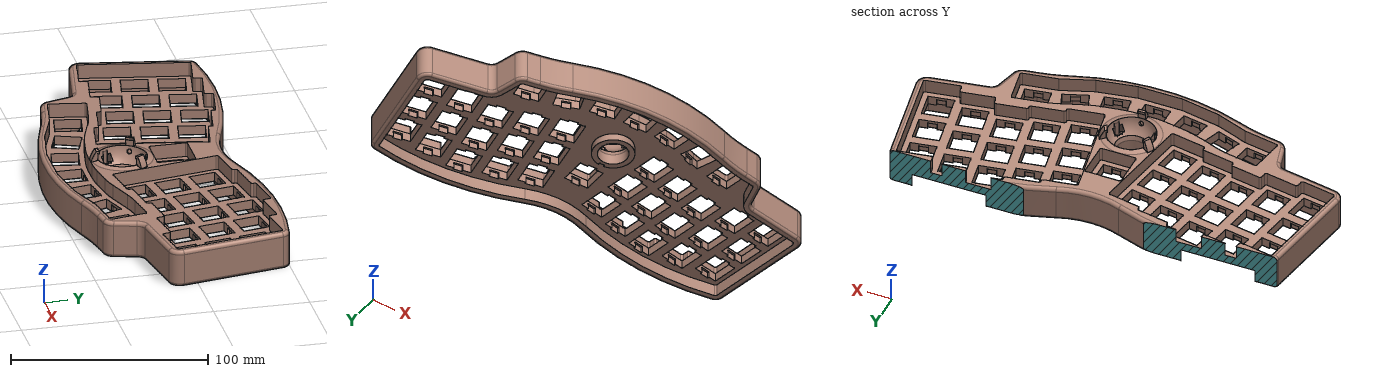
import cadquery as cq
import math

BODY_HEIGHT = 19.6
OVERALL_HEIGHT = 25.2
POCKET_DEPTH = 7.6
PLATE_THICKNESS = 5.0
PLATE_TOP = BODY_HEIGHT - POCKET_DEPTH
PLATE_BOTTOM = PLATE_TOP - PLATE_THICKNESS

CAVITY_WALL = 4.0
TOP_EDGE_RADIUS = 2.0
BOTTOM_EDGE_RADIUS = 1.5
OUTER_CORNER_RADIUS = 6.0
INNER_CORNER_RADIUS = 4.5
BACK_CORNER_RADIUS = 5.0
POCKET_CORNER_RADIUS = 1.0
THUMB_BEND_RADIUS = 50.0

CORNER_REACH = 0.5

KEY_PITCH = 19.0
KEY_CELL = 20.0
SWITCH_HOLE = 14.0
HAND_ANGLE = 10.0
NOTCH_WIDTH = 5.0
NOTCH_DEPTH = 1.0
NOTCH_LIP = 1.5
ROWS = 3

FIRST_COLUMN_U = -100.4
FIRST_COLUMN_V = -0.7
COLUMN_STAGGER = [0.0, KEY_PITCH / 4, KEY_PITCH / 2, KEY_PITCH * 3 / 8, KEY_PITCH / 4]

THUMB_KEYS = [(-59.75, -27.0, HAND_ANGLE), (-40.05, -32.3, 2 * HAND_ANGLE), (-20.35, -37.55, HAND_ANGLE)]
MIDDLE_THUMB_KEY_Y = -39.15
CENTRE_KEY_Y = 13.4

HALF_LENGTH = 234.24 / 2
HALF_WIDTH = 105.81 / 2

SOCKET_Y = -12.8
BALL_RADIUS = 13.0
BALL_CENTRE_Z = 21.5
DRAIN_DIAMETER = 16.0
DRAIN_TOP_RADIUS = 8.7
RING_RADIUS = 16.0
RING_HEIGHT = 0.8
RIM_Z = BODY_HEIGHT + RING_HEIGHT
DRAIN_TAPER_BOTTOM = 9.2
COLLAR_RADIUS = 11.0
COLLAR_BOTTOM = 3.0

CLIP_ANGLES = [30, 150, 270]
ROLLER_FLOORS = {90: 0.0, 210: 10.0, 330: 10.0}
CLIP_WIDTH = 4.0
CLIP_OUTER_RADIUS = 16.6
CLIP_TOP_RADIUS = 13.8
CLIP_BULGE = 0.2
CLIP_LIP = 0.7
CLIP_LIP_HEIGHT = 1.4
BEARING_DIAMETER = 2.4
BEARING_DEPTH = 1.5
BEARING_DIP = 18.0
ROLLER_WIDTH = 3.0
ROLLER_INNER_RADIUS = 9.8
ROLLER_OUTER_RADIUS = 12.7
AXLE_RADIUS = 11.0
AXLE_LENGTH = 6.0
AXLE_WIDTH = 2.0
AXLE_FLOOR = 12.5
AXLE_HEIGHT = 4.5


def turned(u, v, angle=HAND_ANGLE):
    """Point (u, v) turned clockwise about the origin."""
    a = math.radians(angle)
    return (u * math.cos(a) + v * math.sin(a), v * math.cos(a) - u * math.sin(a))


def across(point):
    """A point reflected in the YZ plane."""
    return (-point[0], point[1])


def mirrored(points):
    """The same points reflected in the YZ plane, in reverse order."""
    return [across(point) for point in reversed(points)]


def placed_box(key, length, width, bottom, top):
    """Box centred on a key and turned with it."""
    x, y, angle = key
    box = cq.Workplane("XY").box(length, width, top - bottom, centered=(True, True, False))
    return box.rotate((0, 0, 0), (0, 0, 1), -angle).translate((x, y, bottom))


def both_sides(keys):
    return keys + [(-x, y, -angle) for x, y, angle in keys]


def column_keys(column):
    u = FIRST_COLUMN_U + column * KEY_PITCH
    bottom_v = FIRST_COLUMN_V + COLUMN_STAGGER[column] - KEY_PITCH
    return [(*turned(u, bottom_v + row * KEY_PITCH), HAND_ANGLE) for row in range(ROWS)]


COLUMNS = [column_keys(column) for column in range(len(COLUMN_STAGGER))]
LEFT_KEYS = [key for column in COLUMNS for key in column]
CENTRE_KEY = (0, CENTRE_KEY_Y, 0)
MIDDLE_THUMB_KEY = (0, MIDDLE_THUMB_KEY_Y, 0)

BACK_PEAK_X = -74.5
BACK_DIP_DEPTH = 13.6
BACK_DIP_RADIUS = 49.0
BACK_REACH = math.hypot(BACK_PEAK_X, BACK_DIP_DEPTH) ** 2 / (2 * BACK_DIP_DEPTH)
BACK_HILL_RADIUS = BACK_REACH - BACK_DIP_RADIUS
BACK_HILL_CENTRE = (BACK_PEAK_X, HALF_WIDTH - BACK_HILL_RADIUS)
BACK_DIP = (0, HALF_WIDTH - BACK_DIP_DEPTH)
BACK_ARC_ANGLE = math.degrees(math.asin(-BACK_PEAK_X / BACK_REACH))

FRONT_BOW_RADIUS = 136.0
FRONT_BOW_ANGLE = 20.0
FRONT_HOLLOW_RADIUS = 100.0
THUMB_EDGE_LENGTH = 11.1
NECK_CORNER = (-79.0, -20.3)


def on_arc(centre, radius, angle):
    """Point on an arc, with the angle in degrees clockwise from +Y."""
    a = math.radians(angle)
    return (centre[0] + radius * math.sin(a), centre[1] + radius * math.cos(a))


def unturned(x, y):
    """Coordinates of a point in the axes of the left-hand columns."""
    return turned(x, y, -HAND_ANGLE)


HAND_V = FIRST_COLUMN_V - KEY_PITCH - KEY_CELL / 2 - CAVITY_WALL
HAND_SIN, HAND_COS = turned(0, 1)
CORNER_CENTRE_X = OUTER_CORNER_RADIUS - HALF_LENGTH
CORNER_CENTRE_U = (CORNER_CENTRE_X - HAND_SIN * (HAND_V + OUTER_CORNER_RADIUS)) / HAND_COS
SIDE_U = CORNER_CENTRE_U - OUTER_CORNER_RADIUS
BOTTOM_CORNER = turned(SIDE_U, HAND_V)
HILL_U, HILL_V = unturned(*BACK_HILL_CENTRE)
TOP_CORNER = turned(SIDE_U, HILL_V + math.sqrt(BACK_HILL_RADIUS**2 - (SIDE_U - HILL_U) ** 2))


def case_outline():
    """Outline with sharp corners, drawn clockwise from the left end of the front bow.

    Also returns the left thumb corner, which is placed along the way.
    """
    bow_centre = (0, FRONT_BOW_RADIUS - HALF_WIDTH)
    bow_start = on_arc(bow_centre, FRONT_BOW_RADIUS, 180 + FRONT_BOW_ANGLE)
    hollow_centre = on_arc(bow_centre, FRONT_BOW_RADIUS + FRONT_HOLLOW_RADIUS, 180 + FRONT_BOW_ANGLE)
    hollow_middle = on_arc(hollow_centre, FRONT_HOLLOW_RADIUS, (FRONT_BOW_ANGLE + HAND_ANGLE) / 2)
    hollow_end = on_arc(hollow_centre, FRONT_HOLLOW_RADIUS, HAND_ANGLE)
    along_thumb = turned(-THUMB_EDGE_LENGTH, 0)
    thumb_corner = (hollow_end[0] + along_thumb[0], hollow_end[1] + along_thumb[1])
    hill_end = on_arc(BACK_HILL_CENTRE, BACK_HILL_RADIUS, BACK_ARC_ANGLE)
    back_peak = (BACK_PEAK_X, HALF_WIDTH)

    left_corners = [thumb_corner, NECK_CORNER, BOTTOM_CORNER, TOP_CORNER]
    outline = cq.Workplane("XY").moveTo(*bow_start).threePointArc(hollow_middle, hollow_end)
    for corner in left_corners:
        outline = outline.lineTo(*corner)
    outline = (
        outline.threePointArc(back_peak, hill_end)
        .threePointArc(BACK_DIP, across(hill_end))
        .threePointArc(across(back_peak), across(TOP_CORNER))
    )
    for corner in mirrored([hollow_end] + left_corners[:-1]):
        outline = outline.lineTo(*corner)
    outline = (
        outline.threePointArc(across(hollow_middle), across(bow_start))
        .threePointArc((0, -HALF_WIDTH), bow_start)
        .close()
    )
    return outline, thumb_corner


def round_corner_pair(body, corner, radius):
    """Round the upright edges at a corner and at its mirror image."""
    x, y = corner
    for side in (x, -x):
        selector = cq.selectors.BoxSelector(
            (side - CORNER_REACH, y - CORNER_REACH, 0),
            (side + CORNER_REACH, y + CORNER_REACH, BODY_HEIGHT),
        )
        body = body.edges("|Z").edges(selector).fillet(radius)
    return body


def case_block():
    outline, thumb_corner = case_outline()
    body = outline.extrude(BODY_HEIGHT)
    body = round_corner_pair(body, TOP_CORNER, BACK_CORNER_RADIUS)
    body = round_corner_pair(body, BOTTOM_CORNER, OUTER_CORNER_RADIUS)
    body = round_corner_pair(body, NECK_CORNER, INNER_CORNER_RADIUS)
    return round_corner_pair(body, thumb_corner, OUTER_CORNER_RADIUS)


def underside_cavity(block):
    """Open space below the plates, set in from the outline by the wall thickness."""
    floor = cq.Workplane("XY").add(block.faces("<Z").wires().vals()).toPending()
    return floor.offset2D(-CAVITY_WALL).extrude(PLATE_BOTTOM)


def hand_pocket():
    """Stepped pocket over the left-hand columns."""
    length = KEY_PITCH * (ROWS - 1) + KEY_CELL
    pocket = cq.Workplane("XY")
    for column in COLUMNS:
        middle_key = column[ROWS // 2]
        pocket = pocket.add(placed_box(middle_key, KEY_CELL, length, PLATE_TOP, BODY_HEIGHT))
    pocket = pocket.combine()
    return pocket.edges("|Z").fillet(POCKET_CORNER_RADIUS)


def cell_corner(key, u_side, v_side):
    x, y, angle = key
    u, v = turned(u_side * KEY_CELL / 2, v_side * KEY_CELL / 2, angle)
    return (x + u, y + v)


def thumb_pocket():
    """Bowed pocket over the thumb row."""
    outer, tilted, inner = THUMB_KEYS
    far_side = [cell_corner(key, 1, 1) for key in (outer, tilted, inner)]
    near_side = [cell_corner(key, 1, -1) for key in (inner, tilted, outer)]
    end = [cell_corner(outer, -1, -1), cell_corner(outer, -1, 1)]
    left = near_side + end + far_side
    pocket = cq.Workplane("XY").workplane(offset=PLATE_TOP).polyline(left + mirrored(left)).close()
    pocket = pocket.extrude(POCKET_DEPTH)
    for bend in far_side:
        pocket = round_corner_pair(pocket, bend, THUMB_BEND_RADIUS)
    for corner in near_side + end:
        pocket = round_corner_pair(pocket, corner, POCKET_CORNER_RADIUS)
    return pocket


def centre_pocket():
    pocket = placed_box(CENTRE_KEY, KEY_CELL, KEY_CELL, PLATE_TOP, BODY_HEIGHT)
    return pocket.edges("|Z").fillet(POCKET_CORNER_RADIUS)


def switch_hole(key):
    """Square through hole with clip notches below a lip."""
    hole = placed_box(key, SWITCH_HOLE, SWITCH_HOLE, 0, PLATE_TOP)
    notch = placed_box(key, NOTCH_WIDTH, SWITCH_HOLE + 2 * NOTCH_DEPTH, 0, PLATE_TOP - NOTCH_LIP)
    return hole.union(notch)


def at_socket(shape, angle=0):
    """Turn a shape made about the Z axis and move it to the socket."""
    return shape.rotate((0, 0, 0), (0, 0, 1), angle).translate((0, SOCKET_Y, 0))


def socket_ring():
    """Solid drum with a sloped top, before the ball seat is cut into it."""
    ring = (
        cq.Workplane("XZ")
        .moveTo(0, PLATE_BOTTOM)
        .lineTo(RING_RADIUS, PLATE_BOTTOM)
        .lineTo(RING_RADIUS, BODY_HEIGHT)
        .lineTo(BALL_RADIUS, RIM_Z)
        .lineTo(0, RIM_Z)
        .close()
        .revolve(360, (0, 0), (0, 1))
    )
    return at_socket(ring)


def clip():
    """Retaining post with an inward lip, on the +X side of the socket."""
    lip_z = OVERALL_HEIGHT - CLIP_LIP_HEIGHT
    bulge = (
        (CLIP_OUTER_RADIUS + CLIP_TOP_RADIUS) / 2 + CLIP_BULGE,
        (BODY_HEIGHT + OVERALL_HEIGHT) / 2 + CLIP_BULGE,
    )
    profile = (
        cq.Workplane("XZ", origin=(0, CLIP_WIDTH / 2, 0))
        .moveTo(BALL_RADIUS, PLATE_TOP)
        .lineTo(CLIP_OUTER_RADIUS, PLATE_TOP)
        .lineTo(CLIP_OUTER_RADIUS, BODY_HEIGHT)
        .threePointArc(bulge, (CLIP_TOP_RADIUS, OVERALL_HEIGHT))
        .lineTo(BALL_RADIUS - CLIP_LIP, OVERALL_HEIGHT)
        .lineTo(BALL_RADIUS - CLIP_LIP, lip_z)
        .lineTo(BALL_RADIUS, lip_z)
        .close()
    )
    return profile.extrude(CLIP_WIDTH)


def socket_collar():
    """Tube hanging below the socket around the drain."""
    collar = cq.Workplane("XY").workplane(offset=COLLAR_BOTTOM).circle(COLLAR_RADIUS)
    return at_socket(collar.extrude(PLATE_BOTTOM - COLLAR_BOTTOM))


def ball_seat():
    """Spherical seat up to the ring rim, opening through a taper into the straight drain."""
    ball = cq.Workplane("XY").sphere(BALL_RADIUS).translate((0, 0, BALL_CENTRE_Z))
    up_to_rim = cq.Workplane("XY").circle(RING_RADIUS).extrude(RIM_Z)
    drain = cq.Workplane("XY").circle(DRAIN_DIAMETER / 2).extrude(DRAIN_TAPER_BOTTOM)
    taper_top = BALL_CENTRE_Z - math.sqrt(BALL_RADIUS**2 - DRAIN_TOP_RADIUS**2)
    taper = (
        drain.faces(">Z")
        .workplane()
        .circle(DRAIN_DIAMETER / 2)
        .workplane(offset=taper_top - DRAIN_TAPER_BOTTOM)
        .circle(DRAIN_TOP_RADIUS)
        .loft()
    )
    return at_socket(ball.intersect(up_to_rim).union(taper))


def bearing_hole():
    """Blind hole for a bearing ball, aimed at the trackball centre."""
    dip = math.radians(BEARING_DIP)
    axis = cq.Vector(math.cos(dip), 0, -math.sin(dip))
    hole_length = 2 * BEARING_DEPTH
    start = cq.Vector(0, 0, BALL_CENTRE_Z) + axis * (BALL_RADIUS - BEARING_DEPTH)
    hole = cq.Solid.makeCylinder(BEARING_DIAMETER / 2, hole_length, start, axis)
    return cq.Workplane("XY").newObject([hole])


def roller_slot(floor):
    """Slot for a roller, open above the given floor, with shelves for its axle, on the +X side."""
    length = ROLLER_OUTER_RADIUS - ROLLER_INNER_RADIUS
    middle = (ROLLER_OUTER_RADIUS + ROLLER_INNER_RADIUS) / 2
    slot = cq.Workplane("XY").box(length, ROLLER_WIDTH, BALL_CENTRE_Z - floor, centered=(True, True, False))
    axle = cq.Workplane("XY").box(AXLE_WIDTH, AXLE_LENGTH, AXLE_HEIGHT, centered=(True, True, False))
    return slot.translate((middle, 0, floor)).union(axle.translate((AXLE_RADIUS, 0, AXLE_FLOOR)))


block = case_block()
cavity = underside_cavity(block)
body = block.faces(">Z").edges().fillet(TOP_EDGE_RADIUS)
body = body.faces("<Z").edges().fillet(BOTTOM_EDGE_RADIUS)
body = body.cut(cavity)

left_pocket = hand_pocket()
for pocket in (left_pocket, left_pocket.mirror("YZ"), centre_pocket(), thumb_pocket()):
    body = body.cut(pocket)

for key in both_sides(LEFT_KEYS + THUMB_KEYS) + [CENTRE_KEY, MIDDLE_THUMB_KEY]:
    body = body.cut(switch_hole(key))

body = body.union(socket_ring()).union(socket_collar())
for angle in CLIP_ANGLES:
    body = body.union(at_socket(clip(), angle))
body = body.cut(ball_seat())
for angle in CLIP_ANGLES:
    body = body.cut(at_socket(bearing_hole(), angle))
for angle, floor in ROLLER_FLOORS.items():
    body = body.cut(at_socket(roller_slot(floor), angle))

result = body